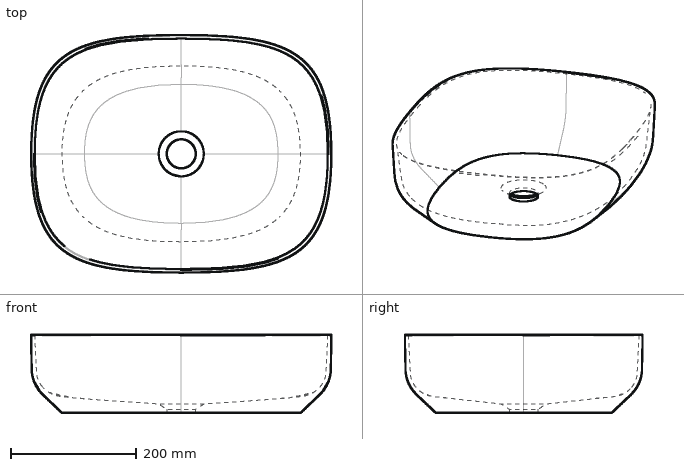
import math

import cadquery as cq

LENGTH = 480.0
WIDTH = 380.0
HEIGHT = 125.0

WALL_DRAFT = 1.2
BASE_INSET = 49.5
SKIRT_ANGLE = 43.5
SKIRT_RADIUS = 58.0

RIM_THICKNESS = 6.0
RIM_ROUNDING = 1.6

BOWL_DRAFT = 4.0
BOWL_RADIUS = 41.0
FLOOR_SLOPE = 0.11
OVAL_LENGTH = 309.0
OVAL_WIDTH = 222.0
OVAL_HALF_SIZES = (OVAL_LENGTH / 2, OVAL_WIDTH / 2)
OVAL_HEIGHT = 22.5

FUNNEL_DIAMETER = 72.0
FUNNEL_TOP = 14.3
DRAIN_DIAMETER = 46.0
FUNNEL_BOTTOM = 5.6

PROFILE_STEPS = 16

RIM_HANDLES = (0.725, 0.87)
BASE_HANDLES = (0.66, 0.8)
OVAL_HANDLES = (0.88, 0.52)
CIRCLE_HANDLE = 4.0 / 3.0 * (math.sqrt(2.0) - 1.0)
CIRCLE_HANDLES = (CIRCLE_HANDLE, CIRCLE_HANDLE)


def blend(start, end, share):
    """Pair of values lying the given share of the way from one pair to another."""
    return tuple(a + share * (b - a) for a, b in zip(start, end))


def outline(half_sizes, handles, z):
    """Closed outline at height z, mirrored from one quarter about the X and Y axes."""
    half_x, half_y = half_sizes
    handle_x = handles[0] * half_x
    handle_y = handles[1] * half_y
    quarter = [(half_x, 0.0), (half_x, handle_y), (handle_x, half_y), (0.0, half_y)]
    edges = []
    for sign_x, sign_y in ((1, 1), (-1, 1), (-1, -1), (1, -1)):
        points = [cq.Vector(sign_x * x, sign_y * y, z) for x, y in quarter]
        if sign_x * sign_y < 0:
            points.reverse()
        edges.append(cq.Edge.makeBezier(points))
    return cq.Wire.assembleEdges(edges)


def rounded_profile(bottom, corner, top, radius):
    """Wall profile in (inset, height): two straight lines joined by an arc at the corner."""
    bottom, corner, top = (cq.Vector(inset, height) for inset, height in (bottom, corner, top))
    down = (bottom - corner).normalized()
    up = (top - corner).normalized()
    setback = radius / math.tan(down.getAngle(up) / 2)
    arc_start = corner + down * setback
    arc_end = corner + up * setback
    foot = cq.Edge.makeLine(bottom, arc_start)
    arc = cq.Edge.makeTangentArc(arc_start, down * -1, arc_end)
    wall = cq.Edge.makeLine(arc_end, top)
    return cq.Wire.assembleEdges([foot, arc, wall])


def lofted_wall(bottom_sizes, bottom_handles, top_sizes, profile):
    """Solid below the rim: half sizes follow the profile's inset, handles follow its height."""
    bottom = profile.startPoint()
    top = profile.endPoint()
    sections = []
    for step in range(PROFILE_STEPS + 1):
        point = profile.positionAt(step / PROFILE_STEPS)
        half_sizes = blend(bottom_sizes, top_sizes, (point.x - bottom.x) / (top.x - bottom.x))
        handles = blend(bottom_handles, RIM_HANDLES, (point.y - bottom.y) / (top.y - bottom.y))
        sections.append(outline(half_sizes, handles, point.y))
    return cq.Workplane(cq.Solid.makeLoft(sections))


def outer_body():
    base_sizes = (LENGTH / 2 - BASE_INSET, WIDTH / 2 - BASE_INSET)
    corner_height = (BASE_INSET - WALL_DRAFT) * math.tan(math.radians(SKIRT_ANGLE))
    profile = rounded_profile(
        (BASE_INSET, 0.0), (WALL_DRAFT, corner_height), (0.0, HEIGHT), SKIRT_RADIUS
    )
    return lofted_wall(base_sizes, BASE_HANDLES, (LENGTH / 2, WIDTH / 2), profile)


def bowl_cavity():
    rim_sizes = (LENGTH / 2 - RIM_THICKNESS, WIDTH / 2 - RIM_THICKNESS)
    oval_inset = (WIDTH - OVAL_WIDTH) / 2
    wall_inset = RIM_THICKNESS + BOWL_DRAFT
    corner_height = OVAL_HEIGHT + FLOOR_SLOPE * (oval_inset - wall_inset)
    profile = rounded_profile(
        (oval_inset, OVAL_HEIGHT), (wall_inset, corner_height), (RIM_THICKNESS, HEIGHT), BOWL_RADIUS
    )
    return lofted_wall(OVAL_HALF_SIZES, OVAL_HANDLES, rim_sizes, profile)


def floor_cavity():
    radius = FUNNEL_DIAMETER / 2
    funnel_rim = outline((radius, radius), CIRCLE_HANDLES, FUNNEL_TOP)
    oval = outline(OVAL_HALF_SIZES, OVAL_HANDLES, OVAL_HEIGHT)
    return cq.Workplane(cq.Solid.makeLoft([funnel_rim, oval], True))


def drain_cavity():
    hole_radius = DRAIN_DIAMETER / 2
    start = cq.Vector(0, 0, FUNNEL_BOTTOM)
    funnel = cq.Solid.makeCone(hole_radius, FUNNEL_DIAMETER / 2, FUNNEL_TOP - FUNNEL_BOTTOM, start)
    hole = cq.Solid.makeCylinder(hole_radius, FUNNEL_BOTTOM)
    return cq.Workplane(funnel).union(cq.Workplane(hole))


def washbasin():
    basin = outer_body().cut(bowl_cavity()).cut(floor_cavity()).cut(drain_cavity())
    return basin.faces(">Z").edges().fillet(RIM_ROUNDING)


result = washbasin()